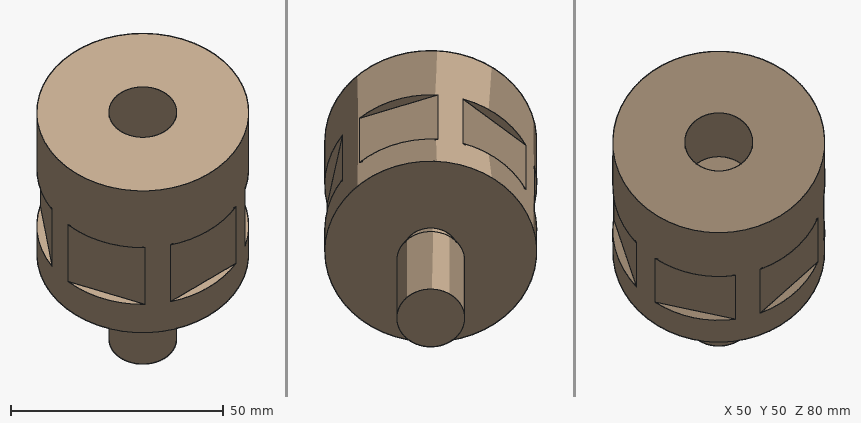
import cadquery as cq

body_diameter = 50.0
body_height = 50.0
flat_count = 6
across_flats = 46.0
flat_height = 20.0
flat_bottom_above_base = 10.0
neck_diameter = 13.0
neck_height = 4.0
stud_diameter = 16.0
total_height = 80.0
bore_diameter = stud_diameter
bore_depth = 20.0

stud_height = total_height - body_height - neck_height
body_base = stud_height + neck_height
flat_bottom = body_base + flat_bottom_above_base


def cylinder(diameter, height, base):
    return cq.Workplane("XY").workplane(offset=base).circle(diameter / 2).extrude(height)


def flat_cutter(angle):
    """Block that removes the body material outside one wrench flat."""
    block = cq.Workplane("XY").box(
        body_diameter, body_diameter, flat_height, centered=(False, True, False)
    )
    return block.translate((across_flats / 2, 0, flat_bottom)).rotate((0, 0, 0), (0, 0, 1), angle)


result = cylinder(stud_diameter, stud_height, 0)
result = result.union(cylinder(neck_diameter, neck_height, stud_height))
result = result.union(cylinder(body_diameter, body_height, body_base))

for index in range(flat_count):
    result = result.cut(flat_cutter(index * 360 / flat_count))

result = result.cut(cylinder(bore_diameter, bore_depth, total_height - bore_depth))